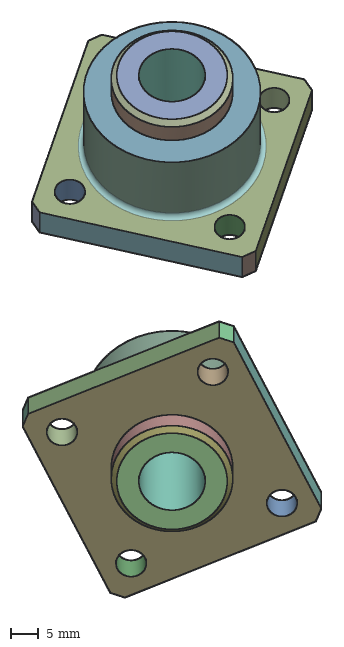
import cadquery as cq

flange_side = 42.0
flange_thickness = 6.0
corner_chamfer = 2.0

mount_hole_diameter = 5.5
mount_hole_spacing = 30.0

housing_diameter = 32.0
housing_height = 22.0
root_fillet = 1.0

bushing_diameter = 22.0
bore_diameter = 12.0
bushing_overhang = 5.0
bushing_chamfer = 1.0
bushing_length = housing_height + 2 * bushing_overhang


def make_flange():
    """Square plate with chamfered corners and four mounting holes."""
    plate = (
        cq.Workplane("XY")
        .box(flange_side, flange_side, flange_thickness, centered=(True, True, False))
        .edges("|Z")
        .chamfer(corner_chamfer)
    )
    return (
        plate.faces(">Z")
        .workplane()
        .rect(mount_hole_spacing, mount_hole_spacing, forConstruction=True)
        .vertices()
        .hole(mount_hole_diameter)
    )


def make_housing():
    """Solid cylinder from the flange underside to the housing top."""
    return cq.Workplane("XY").circle(housing_diameter / 2).extrude(housing_height)


def make_bushing():
    """Solid cylinder with both end rims chamfered."""
    return (
        cq.Workplane("XY")
        .workplane(offset=-bushing_overhang)
        .circle(bushing_diameter / 2)
        .extrude(bushing_length)
        .faces("<Z or >Z")
        .edges()
        .chamfer(bushing_chamfer)
    )


def make_root_fillet():
    """Concave ring that blends the housing wall into the flange top."""
    wall_radius = housing_diameter / 2
    foot_radius = wall_radius + root_fillet
    top = flange_thickness + root_fillet
    bend = root_fillet * (1 - 0.5 ** 0.5)
    return (
        cq.Workplane("XZ")
        .moveTo(bushing_diameter / 2, flange_thickness)
        .lineTo(foot_radius, flange_thickness)
        .threePointArc((wall_radius + bend, flange_thickness + bend), (wall_radius, top))
        .lineTo(bushing_diameter / 2, top)
        .close()
        .revolve(360, (0, 0, 0), (0, 1, 0))
    )


def make_bore():
    """Cutter for the through bore of the bushing."""
    return (
        cq.Workplane("XY")
        .workplane(offset=-bushing_overhang)
        .circle(bore_diameter / 2)
        .extrude(bushing_length)
    )


body = make_flange().union(make_housing()).union(make_root_fillet())
result = body.union(make_bushing()).cut(make_bore())